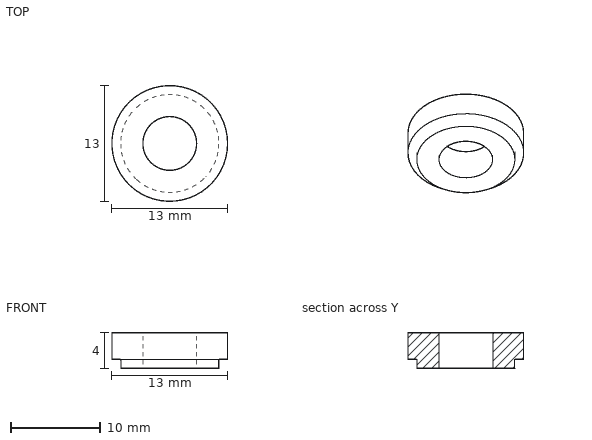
import cadquery as cq

flange_diameter = 13.0
spigot_diameter = 11.0
bore_diameter = 6.0
total_height = 4.0
spigot_height = 1.0
root_fillet_radius = 0.1

flange_height = total_height - spigot_height

spigot = cq.Workplane("XY").circle(spigot_diameter / 2).extrude(spigot_height)
flange = (
    cq.Workplane("XY")
    .workplane(offset=spigot_height)
    .circle(flange_diameter / 2)
    .extrude(flange_height)
)
body = spigot.union(flange)

root_edge = cq.selectors.RadiusNthSelector(0)
body = body.faces("<Z[1]").edges(root_edge).fillet(root_fillet_radius)

bore = cq.Workplane("XY").circle(bore_diameter / 2).extrude(total_height)
result = body.cut(bore)